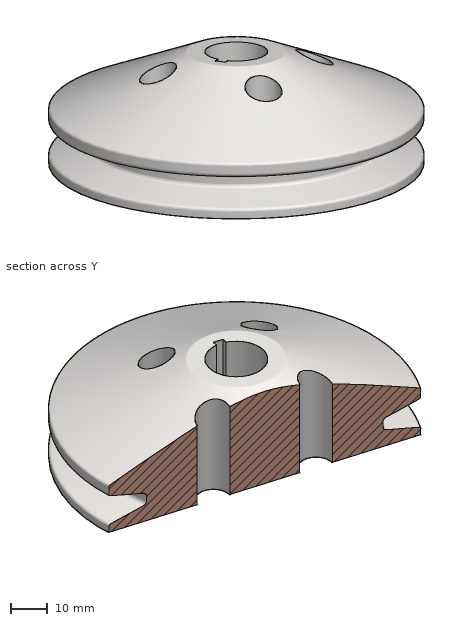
import cadquery as cq
import math

outer_radius = 51.0
height = 31.5
cone_base_z = 15.5
hub_top_radius = 13.6
edge_radius = 1.0

groove_center_z = 7.3
groove_floor_radius = 40.1
groove_opening = 9.4
groove_wall_angle = 15.0

bore_diameter = 17.0
keyway_width = 3.0
keyway_reach = 10.0

web_hole_diameter = 10.0
web_hole_circle_diameter = 45.0
web_hole_count = 4
first_hole_angle = 45.0


def make_body():
    """Revolve the pulley profile and round every edge except those of the flat base."""
    wall_rise = (outer_radius - groove_floor_radius) * math.tan(math.radians(groove_wall_angle))
    half_opening = groove_opening / 2
    half_floor = half_opening - wall_rise
    profile = [
        (0, 0),
        (outer_radius, 0),
        (outer_radius, groove_center_z - half_opening),
        (groove_floor_radius, groove_center_z - half_floor),
        (groove_floor_radius, groove_center_z + half_floor),
        (outer_radius, groove_center_z + half_opening),
        (outer_radius, cone_base_z),
        (hub_top_radius, height),
        (0, height),
    ]
    body = cq.Workplane("XZ").polyline(profile).close().revolve(360, (0, 0), (0, 1))
    return body.edges("%CIRCLE").edges("not <Z").fillet(edge_radius)


def make_bore():
    """Shaft bore with a keyway on its -Y side."""
    bore = cq.Workplane("XY").circle(bore_diameter / 2).extrude(height)
    keyway = (
        cq.Workplane("XY")
        .center(0, -keyway_reach / 2)
        .rect(keyway_width, keyway_reach)
        .extrude(height)
    )
    return bore.union(keyway)


def make_web_holes():
    """Evenly spaced holes parallel to the axis."""
    return (
        cq.Workplane("XY")
        .polarArray(web_hole_circle_diameter / 2, first_hole_angle, 360, web_hole_count)
        .circle(web_hole_diameter / 2)
        .extrude(height)
    )


result = make_body().cut(make_bore()).cut(make_web_holes())